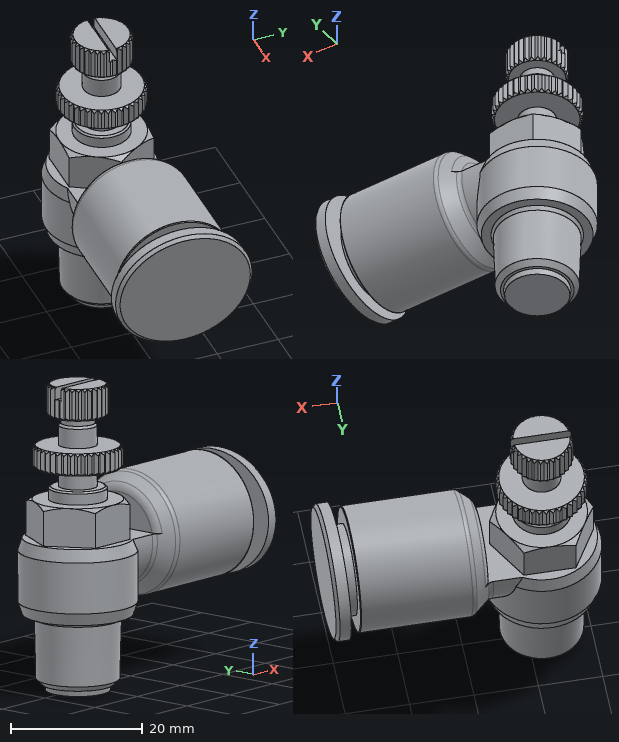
import cadquery as cq
import math


tip_bottom_r = 5.0
tip_top_r = 5.15
tip_top_z = 1.0
lead_in_r = 5.6
thread_bottom_r = 6.5
thread_bottom_z = 1.85
thread_top_r = 6.7
thread_top_z = 11.3
shoulder_r = 7.05

body_bottom_z = 11.95
body_top_z = 23.85
body_r = 9.2
body_chamfer_r = 0.65
body_chamfer_z = 1.95

hex_flats = 14.0
hex_top_z = 29.9
hex_chamfer_angle = math.radians(30)
collar_r = 4.5
collar_top_z = 31.9
collar_chamfer = 0.3

stem_r = 3.0
stem_shoulder_z = 41.4
stem_neck_r = 2.65
stem_neck_z = 41.8

ring_bottom_z = 34.9
ring_top_z = 38.4
ring_r = 7.0
ring_teeth = 40
knob_bottom_z = 43.0
knob_top_z = 48.0
knob_r = 4.85
knob_teeth = 30
knurl_depth = 0.5
knurl_chamfer_z = 0.45
slot_width = 1.2
slot_depth = 1.9

outlet_z = 22.5
arm_r = 7.5
sleeve_r = 9.85
arm_fillet = 1.2
cone_angle = math.radians(40)
cone_start_x = 9.25
sleeve_face_x = 9.55
face_fillet = 1.85
shoulder_fillet = 1.1
cone_rise = math.tan(cone_angle)
face_corner = (sleeve_face_x, arm_r + (sleeve_face_x - cone_start_x) * cone_rise)
shoulder_corner = (cone_start_x + (sleeve_r - arm_r) / cone_rise, sleeve_r)
sleeve_end_x = 29.9
sleeve_end_chamfer = 0.15
release_neck_r = 7.1
release_flange_x = 31.6
outlet_end_x = 33.9
flange_width = 22.5
flange_height = 19.5
flange_chamfer = 0.55


def stem_disc(radius, bottom_z, top_z):
    return cq.Workplane("XY").workplane(offset=bottom_z).circle(radius).extrude(top_z - bottom_z)


def turned(outline):
    """Solid of revolution about the stem axis from (radius, z) points."""
    return cq.Workplane("XZ").polyline(outline).close().revolve(360, (0, 0), (0, 1))


def turned_body():
    """Threaded end and body as one revolved outline."""
    end_r = body_r - body_chamfer_r
    outline = [
        (0, 0),
        (tip_bottom_r, 0),
        (tip_top_r, tip_top_z),
        (lead_in_r, tip_top_z),
        (thread_bottom_r, thread_bottom_z),
        (thread_top_r, thread_top_z),
        (shoulder_r, body_bottom_z),
        (end_r, body_bottom_z),
        (body_r, body_bottom_z + body_chamfer_z),
        (body_r, body_top_z - body_chamfer_z),
        (end_r, body_top_z),
        (0, body_top_z),
    ]
    return turned(outline)


def hexagon():
    """Hexagon with corners on X, its top corners turned off to a shallow cone."""
    flat_r = hex_flats / 2
    corner_r = flat_r / math.cos(math.pi / 6)
    corner_drop = (corner_r - flat_r) * math.tan(hex_chamfer_angle)
    height = hex_top_z - body_top_z
    prism = cq.Workplane("XY").workplane(offset=body_top_z).polygon(6, 2 * corner_r).extrude(height)
    turning = [
        (0, body_top_z),
        (corner_r, body_top_z),
        (corner_r, hex_top_z - corner_drop),
        (flat_r, hex_top_z),
        (0, hex_top_z),
    ]
    return prism.intersect(turned(turning))


def adjusting_stem():
    outline = [
        (0, hex_top_z),
        (stem_r, hex_top_z),
        (stem_r, stem_shoulder_z),
        (stem_neck_r, stem_neck_z),
        (stem_neck_r, knob_bottom_z),
        (0, knob_bottom_z),
    ]
    return turned(outline)


def knurled_disc(radius, teeth, first_tooth_angle, bottom_z, top_z):
    """Disc with pointed teeth; both rims are chamfered down to the tooth roots."""
    root_r = radius - knurl_depth
    points = []
    for step in range(2 * teeth):
        angle = first_tooth_angle + step * math.pi / teeth
        r = radius if step % 2 == 0 else root_r
        points.append((r * math.cos(angle), r * math.sin(angle)))
    star = cq.Workplane("XY").workplane(offset=bottom_z).polyline(points).close().extrude(top_z - bottom_z)
    turning = [
        (0, bottom_z),
        (root_r, bottom_z),
        (radius, bottom_z + knurl_chamfer_z),
        (radius, top_z - knurl_chamfer_z),
        (root_r, top_z),
        (0, top_z),
    ]
    return star.intersect(turned(turning))


def knob():
    """Knurled knob with a screwdriver slot along X."""
    disc = knurled_disc(knob_r, knob_teeth, math.pi / 2, knob_bottom_z, knob_top_z)
    slot = (
        cq.Workplane("XY")
        .workplane(offset=knob_top_z - slot_depth)
        .rect(2 * knob_r, slot_width)
        .extrude(slot_depth)
    )
    return disc.cut(slot)


def rounded_bend(corner, angle_in, angle_out, radius):
    """Start, middle and end of the arc that rounds a bend between two directions."""
    turn = angle_out - angle_in
    tangent = radius * math.tan(abs(turn) / 2)
    arc_gap = radius / math.cos(turn / 2) - radius
    inward = (angle_in + angle_out) / 2 + math.copysign(math.pi / 2, turn)

    def from_corner(distance, angle):
        return (corner[0] + distance * math.cos(angle), corner[1] + distance * math.sin(angle))

    return from_corner(-tangent, angle_in), from_corner(arc_gap, inward), from_corner(tangent, angle_out)


def outlet_outline(start_x):
    """Half outline in the XZ plane, begun on the outlet axis."""
    return cq.Workplane("XZ", origin=(0, 0, outlet_z)).moveTo(start_x, 0)


def full_outlet():
    """Round arm from the stem axis, flaring through a cone into the sleeve."""
    arm_end, flare_middle, cone_start = rounded_bend((cone_start_x, arm_r), 0, cone_angle, arm_fillet)
    cone_end, shoulder_middle, sleeve_start = rounded_bend(
        shoulder_corner, cone_angle, 0, shoulder_fillet
    )
    return (
        outlet_outline(0)
        .lineTo(0, arm_r)
        .lineTo(*arm_end)
        .threePointArc(flare_middle, cone_start)
        .lineTo(*cone_end)
        .threePointArc(shoulder_middle, sleeve_start)
        .lineTo(sleeve_end_x - sleeve_end_chamfer, sleeve_r)
        .lineTo(sleeve_end_x, sleeve_r - sleeve_end_chamfer)
        .lineTo(sleeve_end_x, 0)
        .close()
        .revolve(360, (0, 0), (1, 0))
    )


def hexagon_clearance():
    """Space above the body, up to the sleeve's flat face and the round from it into the cone."""
    face_start, face_middle, face_end = rounded_bend(face_corner, math.pi / 2, cone_angle, face_fillet)
    around_axis = (
        outlet_outline(-body_r)
        .lineTo(sleeve_face_x, 0)
        .lineTo(*face_start)
        .threePointArc(face_middle, face_end)
        .lineTo(face_end[0], sleeve_r)
        .lineTo(-body_r, sleeve_r)
        .close()
        .revolve(360, (0, 0), (1, 0))
    )
    above_body = stem_disc(2 * sleeve_r, body_top_z, outlet_z + sleeve_r)
    return around_axis.intersect(above_body)


def release_ring():
    """Round neck carrying the elliptical push flange."""
    neck = (
        cq.Workplane("YZ", origin=(sleeve_end_x, 0, outlet_z))
        .circle(release_neck_r)
        .extrude(release_flange_x - sleeve_end_x)
    )
    flange = (
        cq.Workplane("YZ", origin=(release_flange_x, 0, outlet_z))
        .ellipse(flange_width / 2, flange_height / 2)
        .extrude(outlet_end_x - release_flange_x)
        .faces(">X")
        .chamfer(flange_chamfer)
    )
    return neck.union(flange)


collar = stem_disc(collar_r, hex_top_z, collar_top_z).faces(">Z").chamfer(collar_chamfer)
lock_ring = knurled_disc(ring_r, ring_teeth, math.pi / ring_teeth, ring_bottom_z, ring_top_z)

result = (
    turned_body()
    .union(full_outlet().cut(hexagon_clearance()))
    .union(release_ring())
    .union(hexagon())
    .union(collar)
    .union(adjusting_stem())
    .union(lock_ring)
    .union(knob())
)